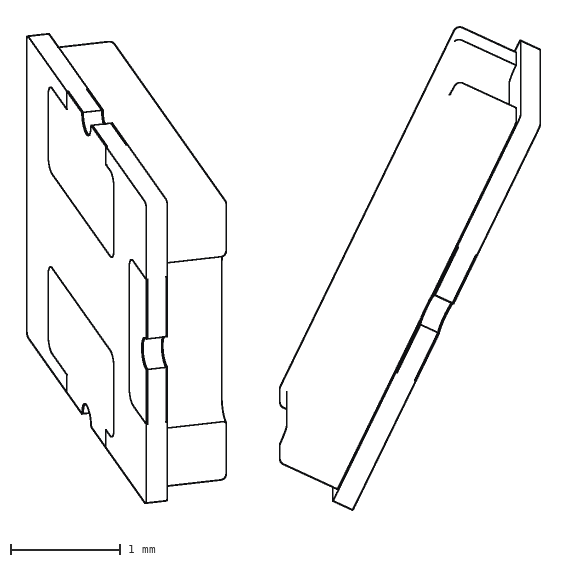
import cadquery as cq
import math


BOARD_LENGTH = 4.0
BOARD_HEIGHT = 3.0
BOARD_THICKNESS = 0.2
BOARD_CORNER_RADIUS = 0.05
NOTCH_RADIUS = 0.15

COVER_LENGTH = 3.81
COVER_HEIGHT = 2.8
COVER_THICKNESS = 0.6
COVER_EDGE_RADIUS = 0.06
RECESS_DEPTH = 0.15
RECESS_BOTTOM = -0.8
RECESS_TOP = 0.845

PAD_THICKNESS = 0.01
PAD_CORNER_RADIUS = 0.13
LONG_PAD_LEFT = -1.28
LONG_PAD_RIGHT = 0.92
LONG_PAD_INNER = 0.47
LONG_PAD_OUTER = 1.32
TAB_WIDTH = 1.305
END_PAD_LEFT = 1.43
END_PAD_BOTTOM = -0.695
END_PAD_TOP = 0.745

BOARD_RIGHT = BOARD_LENGTH / 2
BOARD_TOP = BOARD_HEIGHT / 2
BACK_PAD_FRONT = BOARD_THICKNESS - PAD_THICKNESS


def block(left, right, bottom, top, front, thickness):
    """Box given by its X and Z limits, its front face and its thickness along Y."""
    return cq.Workplane("XY").box(right - left, thickness, top - bottom, centered=False).translate(
        (left, front, bottom)
    )


def make_notches():
    """Round cutters through the board at its top, bottom and right edges."""
    centers = [(0, BOARD_TOP), (0, -BOARD_TOP), (BOARD_RIGHT, 0)]
    return cq.Workplane("XZ").pushPoints(centers).circle(NOTCH_RADIUS).extrude(-BOARD_THICKNESS)


def make_long_pad(front, side):
    """Long pad with a tab to the board's top (side = 1) or bottom (side = -1) edge."""
    pad = block(LONG_PAD_LEFT, LONG_PAD_RIGHT, LONG_PAD_INNER, LONG_PAD_OUTER, front, PAD_THICKNESS)
    pad = pad.edges("|Y").fillet(PAD_CORNER_RADIUS)
    tab = block(-TAB_WIDTH / 2, TAB_WIDTH / 2, LONG_PAD_INNER, BOARD_TOP, front, PAD_THICKNESS)
    pad = pad.union(tab)
    if side < 0:
        pad = pad.mirror("XY")
    return pad.cut(make_notches())


def make_end_pad(front):
    """Pad that reaches the board's right edge."""
    pad = block(END_PAD_LEFT, BOARD_RIGHT, END_PAD_BOTTOM, END_PAD_TOP, front, PAD_THICKNESS)
    return pad.edges("|Y and <X").fillet(PAD_CORNER_RADIUS).cut(make_notches())


def make_board(pads):
    """Plate with notched edges and a matching recess for every pad."""
    board = block(-BOARD_RIGHT, BOARD_RIGHT, -BOARD_TOP, BOARD_TOP, 0, BOARD_THICKNESS)
    board = board.edges("|Y").fillet(BOARD_CORNER_RADIUS).cut(make_notches())
    for pad in pads:
        board = board.cut(pad)
    return board


def make_recess():
    """Cutter for the cover's left side, with a quarter-round corner at each end of its floor."""
    left = -COVER_LENGTH / 2
    floor = left + RECESS_DEPTH
    lower_start = RECESS_BOTTOM + RECESS_DEPTH
    upper_start = RECESS_TOP - RECESS_DEPTH
    arc_offset = RECESS_DEPTH * math.sqrt(0.5)
    return (
        cq.Workplane("XZ", origin=(0, BOARD_THICKNESS, 0))
        .moveTo(left, RECESS_BOTTOM)
        .threePointArc((left + arc_offset, lower_start - arc_offset), (floor, lower_start))
        .lineTo(floor, upper_start)
        .threePointArc((left + arc_offset, upper_start + arc_offset), (left, RECESS_TOP))
        .close()
        .extrude(-COVER_THICKNESS)
    )


def make_cover():
    """Block with a recess in its left and right sides and rounded back edges."""
    right = COVER_LENGTH / 2
    top = COVER_HEIGHT / 2
    cover = block(-right, right, -top, top, BOARD_THICKNESS, COVER_THICKNESS)
    cover = cover.edges("|Y").fillet(COVER_EDGE_RADIUS)
    recess = make_recess()
    cover = cover.cut(recess).cut(recess.mirror("YZ"))
    return cover.faces(">Y").edges().fillet(COVER_EDGE_RADIUS)


pads = []
for pad_front in (0, BACK_PAD_FRONT):
    pads.append(make_long_pad(pad_front, 1))
    pads.append(make_long_pad(pad_front, -1))
    pads.append(make_end_pad(pad_front))

board = make_board(pads)
cover = make_cover()

result = cq.Compound.makeCompound([board.val(), cover.val(), *[pad.val() for pad in pads]])